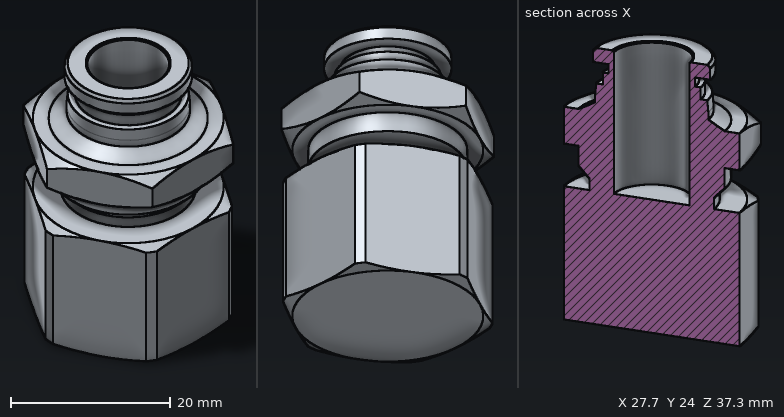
import cadquery as cq
import math

hex_sides = 6
across_flats = 24.0
flat_radius = across_flats / 2
corner_radius = flat_radius / math.cos(math.pi / hex_sides)
overall_height = 37.3

body_top = 18.0
body_corner_radius = 13.45
body_chamfer_angle = 20

nut_bottom = 23.7
nut_height = 5.05
nut_top = nut_bottom + nut_height
nut_chamfer_angle = 30

undercut_radius = 8.55
undercut_top = 19.5
shank_radius = 10.0
shank_bottom = 21.0

collar_radius = 7.75
collar_bottom = 29.95
collar_taper_bottom = 30.95
collar_top_radius = 7.6
collar_top = 32.53
sleeve_radius = 6.7
sleeve_top = 34.13

button_neck_radius = 5.95
button_radius = 8.02
button_thickness = 2.0
button_bottom = overall_height - button_thickness
button_chamfer = 0.4

bore_radius = 5.15
bore_chamfer = 0.2
bore_bottom = body_top


def revolve_profile(points):
    """Turn a closed outline of (radius, height) points about the Z axis."""
    return cq.Workplane("XZ").polyline(points).close().revolve(360, (0, 0, 0), (0, 1, 0))


def turned_hex(bottom, top, outer_radius, chamfer_angle):
    """Hex prism whose corners are trimmed by a cylinder and by a cone at each end."""
    base = cq.Workplane("XY").workplane(offset=bottom)
    prism = base.polygon(hex_sides, 2 * corner_radius).extrude(top - bottom)
    chamfer_height = (outer_radius - flat_radius) * math.tan(math.radians(chamfer_angle))
    envelope = revolve_profile([
        (0, bottom),
        (flat_radius, bottom),
        (outer_radius, bottom + chamfer_height),
        (outer_radius, top - chamfer_height),
        (flat_radius, top),
        (0, top),
    ])
    return prism.intersect(envelope)


def turned_core():
    """Shank, stepped sleeve and release button, rising from the top of the body hex."""
    return revolve_profile([
        (0, body_top),
        (undercut_radius, body_top),
        (undercut_radius, undercut_top),
        (shank_radius, shank_bottom),
        (shank_radius, nut_top),
        (collar_radius, collar_bottom),
        (collar_radius, collar_taper_bottom),
        (collar_top_radius, collar_top),
        (sleeve_radius, collar_top),
        (sleeve_radius, sleeve_top),
        (button_neck_radius, sleeve_top),
        (button_neck_radius, button_bottom),
        (button_radius, button_bottom),
        (button_radius, overall_height - button_chamfer),
        (button_radius - button_chamfer, overall_height),
        (0, overall_height),
    ])


def tube_bore():
    """Bore with a small lead-in chamfer at the button face."""
    return revolve_profile([
        (0, bore_bottom),
        (bore_radius, bore_bottom),
        (bore_radius, overall_height - bore_chamfer),
        (bore_radius + bore_chamfer, overall_height),
        (0, overall_height),
    ])


body = turned_hex(0, body_top, body_corner_radius, body_chamfer_angle)
nut = turned_hex(nut_bottom, nut_top, corner_radius, nut_chamfer_angle)
result = body.union(turned_core()).union(nut).cut(tube_bore())